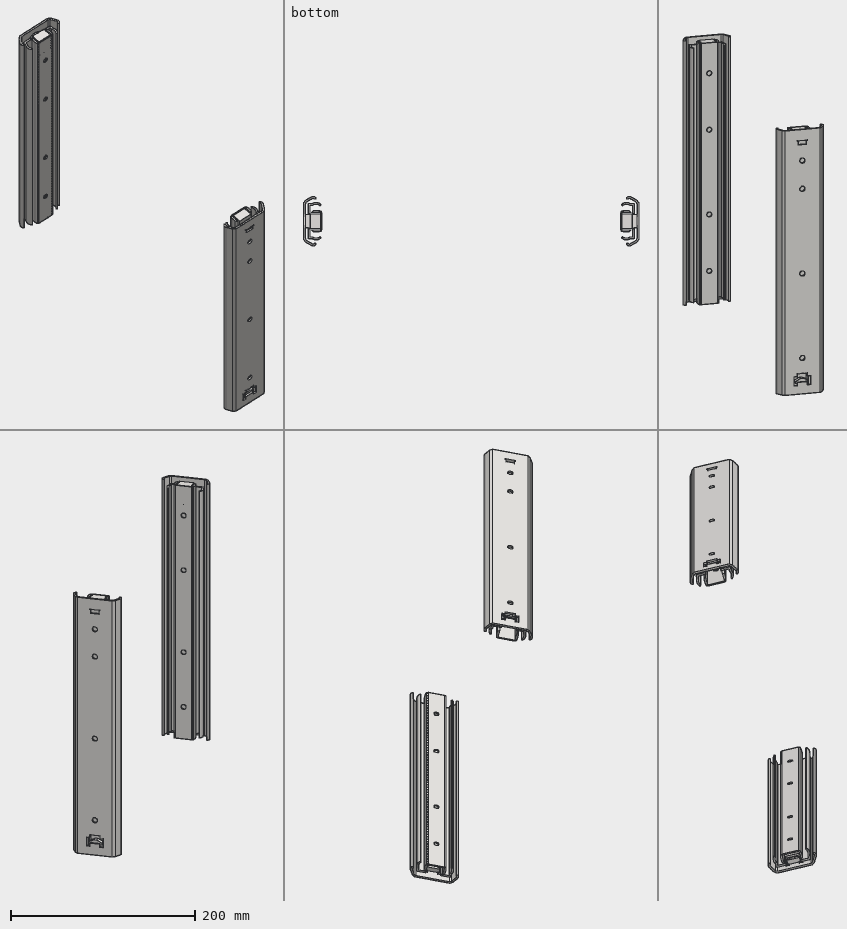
import cadquery as cq
import math


SPAN = 364.0
LENGTH = 300.0
HALF_WIDTH = 54.0 / 2
SLIDE_DEPTH = 20.0
SHEET = 2.2
TOP = LENGTH / 2
BOTTOM = -LENGTH / 2

OUTER_WEB_HALF = 19.5
OUTER_BEND_DEPTH = 2.2
RACE_DEPTH = 10.5
RACE_RADIUS = 3.5
RACE_RISE_ANGLE = 30.0
RACE_END_ANGLE = 50.0

MIDDLE_FACE_DEPTH = 5.0
MIDDLE_HALF = 19.3
MIDDLE_BEND = 0.7
MIDDLE_BEAD_START = 10.0
MIDDLE_BEAD_DEPTH = 13.5
MIDDLE_BEAD_Y = 20.5
MIDDLE_LIP_DEPTH = 19.3
MIDDLE_LIP_Y = 18.0
MIDDLE_TOP = TOP - 7.3
MIDDLE_BOTTOM = BOTTOM + 4.0

INNER_HALF = 11.5
INNER_FLANGE_DEPTH = 8.7
INNER_TIP_BEVEL = 2.2
INNER_WEB = 1.5
INNER_SLOPE_DEPTH = 16.5
INNER_SLOPE_DROP = 0.7
INNER_CORNER_DEPTH = 0.7
INNER_CORNER_Y = 2.5
INNER_TOP = TOP - 2.5
INNER_BOTTOM = BOTTOM + 1.0

BLOCK_START = 7.5
BLOCK_HALF = 8.0
BLOCK_HEIGHT = 22.0

OUTER_HOLE_DIAMETER = 6.0
INNER_HOLE_DIAMETER = 5.5
OUTER_HOLES_Z = [114.5, 82.5, -13.5, -109.2]
INNER_HOLES_Z = [113.0, 48.8, -47.5, -111.5]

TAB_HALF = 7.3
TAB_RIDGE_HALF = 1.5
TAB_RISE = 3.0
TAB_THICKNESS = 2.2
UPPER_RIDGE_Z = 142.7
LOWER_RIDGE_Z = -133.0
TAB_END_DEPTH = MIDDLE_FACE_DEPTH + SHEET
NOTCH_HALF = 8.5
NOTCH_Z = 125.5
UPPER_OPENING_HALF = 4.7
UPPER_OPENING_Z = (133.0, 137.5)
UPPER_RELIEF_HALF = 6.0
UPPER_RELIEF_HEIGHT = 0.5
LOWER_OPENING_HALF = 6.0
LOWER_OPENING_Z = (-136.5, -126.5)
LEG_INNER_Y = 5.5
LEG_OUTER_Y = 9.5
LEG_Z = (-140.0, -130.0)


def box(depth_range, y_range, z_range):
    """Box between two depths, two Y values and two heights."""
    (d0, d1), (y0, y1), (z0, z1) = depth_range, y_range, z_range
    return cq.Workplane("XY").box(d1 - d0, y1 - y0, z1 - z0, centered=False).translate((d0, y0, z0))


def symmetric_rail(half_section, bottom, top):
    """Extrude a half section lying at Y >= 0 and join it to its mirror image."""
    half = half_section.extrude(top - bottom).translate((0, 0, bottom))
    return half.union(half.mirror("XZ"))


def web_holes(depth, diameter, heights):
    """Cylinders along X that pierce a web starting at the given depth."""
    points = [(0, z) for z in heights]
    return cq.Workplane("YZ", origin=(depth, 0, 0)).pushPoints(points).circle(diameter / 2).extrude(SHEET)


def stop_tab(ridge_z):
    """Roof-shaped tab standing on the outer web, with a flat ridge and two sloping sides."""
    side_z = ridge_z - TAB_RISE
    outline = [
        (-TAB_HALF, side_z),
        (-TAB_RIDGE_HALF, ridge_z),
        (TAB_RIDGE_HALF, ridge_z),
        (TAB_HALF, side_z),
        (TAB_HALF, side_z - TAB_THICKNESS),
        (-TAB_HALF, side_z - TAB_THICKNESS),
    ]
    tab = cq.Workplane("YZ", origin=(SHEET, 0, 0)).polyline(outline).close()
    return tab.extrude(TAB_END_DEPTH - SHEET)


def race_point(radius, angle):
    """Point on a circle around the ball race centre, at an angle from +Y towards +X."""
    turn = math.radians(angle)
    centre_y = HALF_WIDTH - RACE_RADIUS
    return RACE_DEPTH + radius * math.sin(turn), centre_y + radius * math.cos(turn)


def flange_y(radius, depth):
    """Y of the straight flange that meets the ball race circle along its tangent."""
    x, y = race_point(radius, -RACE_RISE_ANGLE)
    return y - (x - depth) * math.tan(math.radians(RACE_RISE_ANGLE))


def make_outer_rail():
    inner_radius = RACE_RADIUS - SHEET
    lip_x, lip_y = race_point(RACE_RADIUS - SHEET / 2, RACE_END_ANGLE)
    lip_turn = math.radians(RACE_END_ANGLE)
    lip_tip = (lip_x + SHEET / 2 * math.cos(lip_turn), lip_y - SHEET / 2 * math.sin(lip_turn))
    inner_bend_depth = OUTER_BEND_DEPTH + SHEET / 2
    section = (
        cq.Workplane("XY")
        .lineTo(0, OUTER_WEB_HALF)
        .lineTo(OUTER_BEND_DEPTH, flange_y(RACE_RADIUS, OUTER_BEND_DEPTH))
        .lineTo(*race_point(RACE_RADIUS, -RACE_RISE_ANGLE))
        .threePointArc(race_point(RACE_RADIUS, 0), race_point(RACE_RADIUS, RACE_END_ANGLE))
        .threePointArc(lip_tip, race_point(inner_radius, RACE_END_ANGLE))
        .threePointArc(race_point(inner_radius, 0), race_point(inner_radius, -RACE_RISE_ANGLE))
        .lineTo(inner_bend_depth, flange_y(inner_radius, inner_bend_depth))
        .lineTo(SHEET, OUTER_WEB_HALF - SHEET / 2)
        .lineTo(SHEET, 0)
        .close()
    )
    rail = symmetric_rail(section, BOTTOM, TOP)
    web = (0, SHEET)
    rail = rail.cut(web_holes(0, OUTER_HOLE_DIAMETER, OUTER_HOLES_Z))
    rail = rail.cut(box(web, (-UPPER_OPENING_HALF, UPPER_OPENING_HALF), UPPER_OPENING_Z))
    relief_top = UPPER_OPENING_Z[1]
    relief_z = (relief_top - UPPER_RELIEF_HEIGHT, relief_top)
    rail = rail.cut(box(web, (-UPPER_RELIEF_HALF, UPPER_RELIEF_HALF), relief_z))
    rail = rail.cut(box(web, (-LOWER_OPENING_HALF, LOWER_OPENING_HALF), LOWER_OPENING_Z))
    rail = rail.cut(box(web, (LEG_INNER_Y, LEG_OUTER_Y), LEG_Z))
    rail = rail.cut(box(web, (-LEG_OUTER_Y, -LEG_INNER_Y), LEG_Z))
    return rail.union(stop_tab(UPPER_RIDGE_Z)).union(stop_tab(LOWER_RIDGE_Z))


def make_middle_rail():
    web_back = MIDDLE_FACE_DEPTH + SHEET
    section = (
        cq.Workplane("XY")
        .moveTo(MIDDLE_FACE_DEPTH, 0)
        .lineTo(MIDDLE_FACE_DEPTH, MIDDLE_HALF - MIDDLE_BEND)
        .lineTo(MIDDLE_FACE_DEPTH + MIDDLE_BEND, MIDDLE_HALF)
        .lineTo(MIDDLE_BEAD_START, MIDDLE_HALF)
        .threePointArc((MIDDLE_BEAD_DEPTH, MIDDLE_BEAD_Y), (MIDDLE_LIP_DEPTH, MIDDLE_LIP_Y))
        .lineTo(MIDDLE_LIP_DEPTH - SHEET / 2, MIDDLE_LIP_Y - SHEET / 2)
        .threePointArc(
            (MIDDLE_BEAD_DEPTH, MIDDLE_BEAD_Y - SHEET),
            (MIDDLE_BEAD_START, MIDDLE_HALF - SHEET),
        )
        .lineTo(web_back, MIDDLE_HALF - SHEET)
        .lineTo(web_back, 0)
        .close()
    )
    rail = symmetric_rail(section, MIDDLE_BOTTOM, MIDDLE_TOP)
    for notch_z in ((NOTCH_Z, MIDDLE_TOP), (MIDDLE_BOTTOM, -NOTCH_Z)):
        rail = rail.cut(box((MIDDLE_FACE_DEPTH, web_back), (-NOTCH_HALF, NOTCH_HALF), notch_z))
    return rail


def make_inner_rail():
    flange_inner = INNER_HALF - SHEET
    web_inner = SLIDE_DEPTH - INNER_WEB
    outline = [
        (SLIDE_DEPTH, 0),
        (SLIDE_DEPTH, INNER_HALF - INNER_CORNER_Y),
        (SLIDE_DEPTH - INNER_CORNER_DEPTH, INNER_HALF - INNER_SLOPE_DROP),
        (INNER_SLOPE_DEPTH, INNER_HALF),
        (INNER_FLANGE_DEPTH + INNER_TIP_BEVEL, INNER_HALF),
        (INNER_FLANGE_DEPTH, flange_inner),
        (web_inner, flange_inner),
        (web_inner, 0),
    ]
    rail = symmetric_rail(cq.Workplane("XY").polyline(outline).close(), INNER_BOTTOM, INNER_TOP)
    return rail.cut(web_holes(web_inner, INNER_HOLE_DIAMETER, INNER_HOLES_Z))


def make_stop_block():
    return box(
        (BLOCK_START, SLIDE_DEPTH - INNER_WEB),
        (-BLOCK_HALF, BLOCK_HALF),
        (INNER_TOP - BLOCK_HEIGHT, INNER_TOP),
    )


bodies = []
for make_body in (make_outer_rail, make_middle_rail, make_inner_rail, make_stop_block):
    left_body = make_body().translate((-SPAN / 2, 0, 0))
    right_body = left_body.mirror("YZ")
    bodies += [left_body.solids().val(), right_body.solids().val()]

result = cq.Compound.makeCompound(bodies)